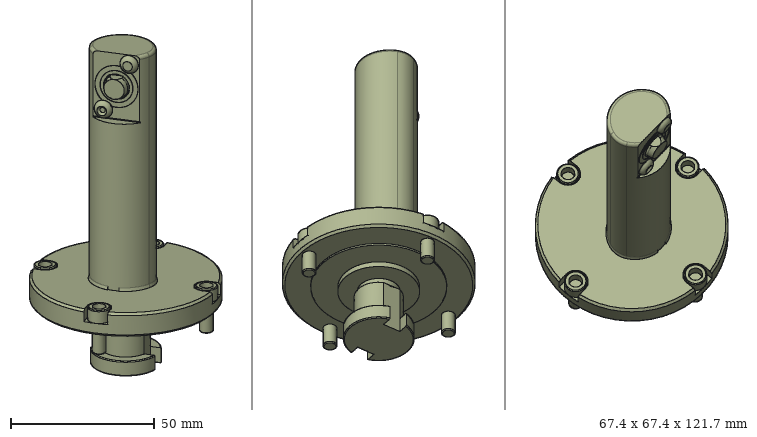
import cadquery as cq
import math

plate_dia = 67.4
plate_bottom = 24.0
plate_top = 33.0
plate_chamfer = 0.9

pad_dia = 47.6
pad_bottom = 23.2
boss_dia = 28.6
boss_bottom = 21.2
neck_dia = 15.1
stem_top = 18.6
stem_dia = 17.3
stem_width = 15.8
foot_dia = 24.8
foot_height = 5.7
foot_chamfer = 0.4

screw_circle_radius = 29.7
screw_count = 4
screw_pocket_width = 8.8
screw_pocket_floor = 28.5
screw_head_dia = 7.9
screw_head_height = 4.9
screw_head_chamfer = 0.4
screw_socket_dia = 4.7
screw_socket_depth = 3.7
screw_shank_dia = 4.9
screw_shank_bottom = 16.0
screw_tip_chamfer = 0.4

column_top = 121.7
column_back = 7.5
column_front = -13.9
column_half_width = 11.9
side_arc_radius = 8.5
side_arc_y = -3.3
column_top_fillet = 1.2

flare_height = 1.2
flare_spread = 0.4
flare_notch_width = 4.1

flat_y = -10.5
flat_bottom = 96.4
button_z = 109.0
button_recess_dia = 9.5
button_recess_depth = 1.2
button_dia = 8.8
button_tip_dia = 7.5
button_flats_width = 7.5
button_height = 2.7
button_taper_start = 0.7
ring_outer_dia = 15.8
ring_inner_dia = 12.0
ring_depth = 0.2
relief_width = 0.4
relief_depth = 0.2
cover_screw_dx = 4.7
cover_screw_dz = 9.1
cover_screw_dia = 6.7
cover_screw_shoulder_dia = 5.8
cover_screw_shoulder_height = 1.2
cover_screw_tip_dia = 3.5
cover_screw_height = 2.0
cover_screw_rim = 0.2
cover_socket_floor_dia = 2.0
cover_socket_depth = 1.0


def cylinder(diameter, bottom, top):
    """Upright cylinder on the Z axis."""
    return cq.Workplane("XY").workplane(offset=bottom).circle(diameter / 2).extrude(top - bottom)


def tangent_point(end_y, half_width, side_radius):
    """Point where the end arc through (0, end_y) meets the right side arc smoothly."""
    side_x = half_width - side_radius
    reach = abs(end_y - side_arc_y)
    end_radius = (side_x**2 + reach**2 - side_radius**2) / (2 * (reach - side_radius))
    end_center_y = end_y - math.copysign(end_radius, end_y)
    stretch = end_radius / (end_radius - side_radius)
    return (stretch * side_x, end_center_y + stretch * (side_arc_y - end_center_y))


def mirrored(point):
    """Reflect an outline point in the YZ plane."""
    return (-point[0], point[1])


def column_outline(base, spread=0.0):
    """Closed outline of the column, grown outwards all round by spread."""
    half_width = column_half_width + spread
    side_radius = side_arc_radius + spread
    back = (0, column_back + spread)
    front = (0, column_front - spread)
    back_corner = tangent_point(back[1], half_width, side_radius)
    front_corner = tangent_point(front[1], half_width, side_radius)
    side = (half_width, side_arc_y)
    return (
        base.moveTo(*back_corner)
        .threePointArc(back, mirrored(back_corner))
        .threePointArc(mirrored(side), mirrored(front_corner))
        .threePointArc(front, front_corner)
        .threePointArc(side, back_corner)
        .close()
    )


def front_cut(back_y, height):
    """Block that clears everything in front of back_y, rising from the flat's lower edge."""
    depth = back_y - column_front
    return (
        cq.Workplane("XZ", origin=(0, back_y, flat_bottom + height / 2))
        .rect(2 * column_half_width, height)
        .extrude(depth)
    )


def make_column():
    """Column with a rounded top, flared foot and a relieved flat cut into its front."""
    foot_plane = cq.Workplane("XY").workplane(offset=plate_top)
    column = column_outline(foot_plane).extrude(column_top - plate_top)
    column = column.faces(">Z").edges().fillet(column_top_fillet)

    flare = column_outline(foot_plane, flare_spread).workplane(offset=flare_height)
    flare = column_outline(flare).loft(ruled=True)
    notch_length = 2 * abs(column_front)
    notch = (
        foot_plane.center(0, -notch_length / 2)
        .rect(flare_notch_width, notch_length)
        .extrude(flare_height)
    )
    column = column.union(flare.cut(notch))

    flat_cut = front_cut(flat_y, column_top - flat_bottom)
    relief_cut = front_cut(flat_y + relief_depth, relief_width)
    return column.cut(flat_cut).cut(relief_cut)


def make_plate():
    """Flange plate with pockets for the screw heads and the pads beneath."""
    plate = cylinder(plate_dia, plate_bottom, plate_top).edges().chamfer(plate_chamfer)
    mouth = (
        cq.Workplane("XY")
        .workplane(offset=screw_pocket_floor)
        .center(screw_pocket_width / 2, 0)
        .rect(screw_pocket_width, screw_pocket_width)
        .extrude(plate_top - screw_pocket_floor)
    )
    pocket = cylinder(screw_pocket_width, screw_pocket_floor, plate_top).union(mouth)
    plate = plate.cut(around_screw_circle(pocket))
    plate = plate.union(cylinder(pad_dia, pad_bottom, plate_bottom))
    return plate.union(cylinder(boss_dia, boss_bottom, pad_bottom))


def make_flange_screw():
    """Socket-head screw on the Z axis, at its working height."""
    head_top = screw_pocket_floor + screw_head_height
    head = cylinder(screw_head_dia, screw_pocket_floor, head_top)
    head = head.faces(">Z").edges().chamfer(screw_head_chamfer)
    head = head.cut(cylinder(screw_socket_dia, head_top - screw_socket_depth, head_top))
    shank = cylinder(screw_shank_dia, screw_shank_bottom, screw_pocket_floor)
    return head.union(shank.faces("<Z").edges().chamfer(screw_tip_chamfer))


def around_screw_circle(body):
    """Copies of a body, built on the Z axis, spaced around the screw circle."""
    moved = body.translate((screw_circle_radius, 0, 0))
    copies = moved
    for index in range(1, screw_count):
        copies = copies.union(moved.rotate((0, 0, 0), (0, 0, 1), index * 360 / screw_count))
    return copies


def make_stem():
    """Neck, flat-sided stem and foot; the foot is notched in line with the flats."""
    neck = cylinder(neck_dia, stem_top, boss_bottom)
    stem = cylinder(stem_dia, 0, stem_top)
    foot = cylinder(foot_dia, 0, foot_height).edges().chamfer(foot_chamfer)
    lower = stem.union(foot)

    flat_length = math.sqrt(stem_dia**2 - stem_width**2)
    notch_depth = (foot_dia - stem_width) / 2
    for side in (-1, 1):
        notch = (
            cq.Workplane("XY")
            .center(side * (stem_width + notch_depth) / 2, 0)
            .rect(notch_depth, flat_length)
            .extrude(stem_top)
        )
        lower = lower.cut(notch)
    return neck.union(lower)


def make_cover_screw(socketed):
    """Domed screw head on the front flat, centred at the height of the button."""
    base_radius = cover_screw_dia / 2
    tip_radius = cover_screw_tip_dia / 2
    shoulder = (cover_screw_shoulder_dia / 2, cover_screw_shoulder_height)
    head = (
        cq.Workplane("XY")
        .lineTo(base_radius, 0)
        .lineTo(base_radius, cover_screw_rim)
        .threePointArc(shoulder, (tip_radius, cover_screw_height))
        .lineTo(0, cover_screw_height)
        .close()
        .revolve(360, (0, 0, 0), (0, 1, 0))
    )
    if socketed:
        socket = (
            cq.Workplane("XZ", origin=(0, cover_screw_height, 0))
            .circle(tip_radius)
            .workplane(offset=cover_socket_depth)
            .circle(cover_socket_floor_dia / 2)
            .loft()
        )
        head = head.cut(socket)
    return head.rotate((0, 0, 0), (0, 0, 1), 180).translate((0, flat_y, button_z))


def make_button():
    """Round button with a tapered tip and two flats, standing in its recess."""
    radius = button_dia / 2
    body = (
        cq.Workplane("XY", origin=(0, flat_y, button_z))
        .moveTo(0, button_recess_depth)
        .lineTo(radius, button_recess_depth)
        .lineTo(radius, -button_taper_start)
        .lineTo(button_tip_dia / 2, -button_height)
        .lineTo(0, -button_height)
        .close()
        .revolve(360, (0, 0, 0), (0, 1, 0))
    )
    between_flats = cq.Workplane("XY", origin=(0, flat_y, button_z)).box(
        button_dia, 2 * (button_height + button_recess_depth), button_flats_width
    )
    return body.intersect(between_flats)


def add_cover(column):
    """Add the ring groove, the recessed button and the two screws to the column's flat."""
    flat = cq.Workplane("XZ", origin=(0, flat_y, button_z))
    recess = flat.circle(button_recess_dia / 2).extrude(-button_recess_depth)
    ring = flat.circle(ring_outer_dia / 2).circle(ring_inner_dia / 2).extrude(-ring_depth)
    upper_screw = make_cover_screw(False).translate((cover_screw_dx, 0, cover_screw_dz))
    lower_screw = make_cover_screw(True).translate((-cover_screw_dx, 0, -cover_screw_dz))
    return column.cut(recess).cut(ring).union(make_button()).union(upper_screw).union(lower_screw)


result = (
    make_plate()
    .union(around_screw_circle(make_flange_screw()))
    .union(make_stem())
    .union(add_cover(make_column()))
)